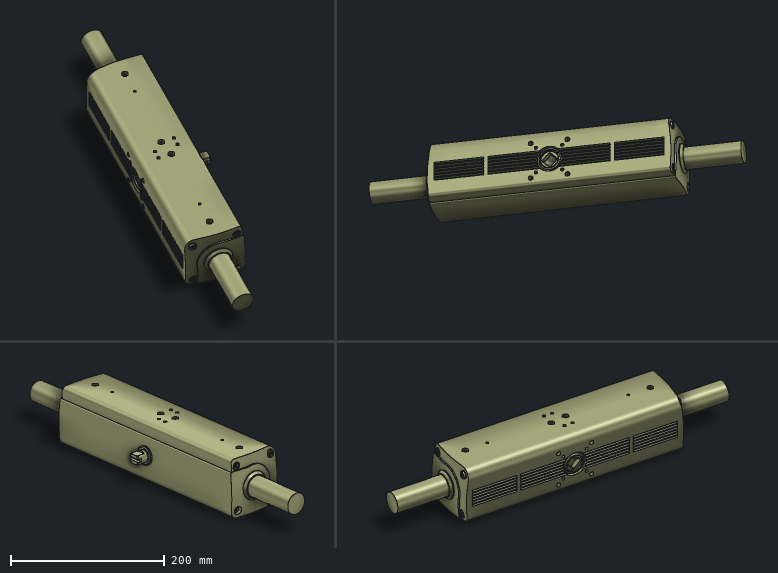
import cadquery as cq
import math


total_length = 502.0
rod_dia = 30.0
cut_clearance = 5.0

far_side = 44.5
near_side = 38.5
step_side = 36.0
step_start = 27.0
big_corner_radius = 15.0
step_corner_radius = 6.0
near_corner_radius = 10.5
step_edge_radius = 2.0

dome_apex = 170.0
dome_radius = 251.0
dome_offset = 7.5
cap_seam = 155.0
recess_level = 165.0
pad_radius = 29.0
pad_side = 28.0

collar_end = 173.0
collar_tip_dia = 33.0
collar_cone_length = 3.5
collar_base_dia = collar_tip_dia + 2 * collar_cone_length

screw_span = 61.5
screw_center = (far_side - near_side) / 2
screw_pocket_dia = 11.0
screw_pocket_level = 161.5
screw_head_dia = 8.5
screw_head_level = 164.5
screw_socket_dia = 4.0
screw_socket_depth = 1.5

strip_half_height = 13.5
groove_count = 6
groove_pitch = 2 * strip_half_height / groove_count
groove_width = 3.0
groove_depth = 1.5
plate_outer = 88.5
plate_inner = 82.5

ring_mouth_dia = 35.0
ring_floor_dia = 33.0
ring_depth = 3.0
shaft_dia = 29.0
shaft_tip_dia = 25.0
shaft_tip_level = 1.0
shaft_recess_dia = 24.0
shaft_recess_depth = 3.0
socket_square = 15.0
socket_depth = 10.0
socket_cone_depth = 7.0
outer_bolt_circle = 70.5
outer_bolt_dia = 6.0
inner_bolt_circle = 50.0
inner_bolt_dia = 4.1
bolt_depth = 10.0
drill_tip_ratio = 0.3

stem_end = 58.5
stem_dia = 18.0
stem_flat_width = 13.0
stem_flat_start = 46.0
stem_chamfer = 1.5
stem_slot_width = 4.0
stem_slot_depth = 5.0
stem_flange_dia = 26.0
stem_flange_end = 42.0
stem_flange_chamfer = 1.5

valve_hole_x = 12.0
valve_hole_span_y = 32.0
valve_center_y = -1.5
valve_screw_dia = 4.1
valve_screw_depth = 10.0
port_dia = 8.5
port_shift_y = 2.0
port_depth = 10.0
port_inner_dia = 3.25
port_inner_depth = 5.0
cap_port_x = 140.0
pin_hole_x = 107.0
pin_hole_dia = 3.25
pin_hole_depth = 5.0


def cylinder_x(dia, x_start, x_end, y=0.0, z=0.0):
    """Cylinder along X between two X values."""
    direction = cq.Vector(math.copysign(1, x_end - x_start), 0, 0)
    start = cq.Vector(x_start, y, z)
    return cq.Workplane(cq.Solid.makeCylinder(dia / 2, abs(x_end - x_start), start, direction))


def drill(dia, depth, place, direction):
    """Blind round hole with a conical tip, starting at a surface point."""
    start = cq.Vector(*place)
    way = cq.Vector(*direction)
    shank = cq.Solid.makeCylinder(dia / 2, depth, start, way)
    tip = cq.Solid.makeCone(dia / 2, 0, dia * drill_tip_ratio, start + way * depth, way)
    return cq.Workplane(shank.fuse(tip))


def make_housing():
    """Full-length section, rounded, then trimmed by one dome at each end."""
    outline = [
        (-far_side, far_side),
        (step_side, far_side),
        (step_side, step_start),
        (near_side, step_start),
        (near_side, -near_side),
        (-step_start, -near_side),
        (-step_start, -step_side),
        (-far_side, -step_side),
    ]
    housing = cq.Workplane("YZ").polyline(outline).close().extrude(dome_apex, both=True)
    rounded_corners = [
        ((-far_side, far_side), big_corner_radius),
        ((step_side, far_side), step_corner_radius),
        ((-far_side, -step_side), step_corner_radius),
        ((near_side, -near_side), near_corner_radius),
        ((near_side, step_start), step_edge_radius),
        ((-step_start, -near_side), step_edge_radius),
    ]
    for (y, z), radius in rounded_corners:
        housing = housing.edges(cq.selectors.NearestToPointSelector((0, y, z))).fillet(radius)
    for side in (-1, 1):
        center = (side * (dome_apex - dome_radius), dome_offset, -dome_offset)
        housing = housing.intersect(cq.Workplane("XY").sphere(dome_radius).translate(center))
    return housing


def make_band_cutter(side):
    """Everything beyond the recess level except the raised pad around the rod."""
    reach = 2 * far_side
    height = dome_apex - recess_level + cut_clearance
    base = cq.Workplane("YZ", origin=(side * recess_level, 0, 0))
    beyond = base.rect(2 * reach, 2 * reach).extrude(side * height)
    square = base.center((reach - pad_side) / 2, (pad_side - reach) / 2)
    square = square.rect(reach + pad_side, reach + pad_side).extrude(side * height)
    corner = base.center(-reach / 2, reach / 2).rect(reach, reach).extrude(side * height)
    disc = base.circle(pad_radius).extrude(side * height)
    return beyond.cut(square.cut(corner)).cut(disc)


def make_rod(side):
    """Plain rod with its conical collar on the cap."""
    rod = cylinder_x(rod_dia, 0, side * total_length / 2)
    collar = cylinder_x(collar_base_dia, 0, side * collar_end)
    tip_face = "<X" if side < 0 else ">X"
    return rod.union(collar.faces(tip_face).chamfer(collar_cone_length))


def add_cap_screws(body, side):
    """Four socket head screws sunk in round pockets of the cap."""
    outside = side * (dome_apex + cut_clearance)
    for dy in (-screw_span / 2, screw_span / 2):
        for dz in (-screw_span / 2, screw_span / 2):
            y = dy - screw_center
            z = dz + screw_center
            pocket = cylinder_x(screw_pocket_dia, side * screw_pocket_level, outside, y, z)
            head = cylinder_x(screw_head_dia, side * cap_seam, side * screw_head_level, y, z)
            socket = drill(screw_socket_dia, screw_socket_depth, (side * screw_head_level, y, z), (-side, 0, 0))
            body = body.cut(pocket).union(head).cut(socket)
    return body


def cut_ribbed_strip(body):
    """Parallel V-grooves along each barrel, leaving the plates and caps plain."""
    barrels = [(-cap_seam, -plate_outer), (-plate_inner, plate_inner), (plate_outer, cap_seam)]
    for x_start, x_end in barrels:
        for index in range(groove_count):
            z = (index - (groove_count - 1) / 2) * groove_pitch
            groove = (
                cq.Workplane("YZ", origin=(x_start, -far_side, z))
                .polyline([(0, groove_width / 2), (groove_depth, 0), (0, -groove_width / 2)])
                .close()
                .extrude(x_end - x_start)
            )
            body = body.cut(groove)
    return body


def cut_drive_socket(body):
    """Round opening with a chamfered shaft end in it, holding a square socket with a conical bottom."""
    mouth = -far_side
    tip = mouth + shaft_tip_level
    floor = mouth + ring_depth
    half_section = [
        (0, mouth),
        (ring_mouth_dia / 2, mouth),
        (ring_floor_dia / 2, floor),
        (shaft_dia / 2, floor),
        (shaft_tip_dia / 2, tip),
        (0, tip),
    ]
    opening = cq.Workplane("XY").polyline(half_section).close().revolve(360, (0, 0, 0), (0, 1, 0))
    body = body.cut(opening)

    recess = cq.Workplane("XZ", origin=(0, tip, 0)).circle(shaft_recess_dia / 2).extrude(-shaft_recess_depth)
    body = body.cut(recess)

    way = cq.Vector(0, 1, 0)
    corner_radius = socket_square / math.sqrt(2)
    shank = cq.Solid.makeCylinder(corner_radius, socket_depth, cq.Vector(0, mouth, 0), way)
    cone = cq.Solid.makeCone(corner_radius, 0, socket_cone_depth, cq.Vector(0, mouth + socket_depth, 0), way)
    square = cq.Workplane("XY").box(socket_square, 2 * far_side, socket_square)
    square = square.rotate((0, 0, 0), (0, 1, 0), 45).translate((0, mouth, 0))
    return body.cut(square.intersect(cq.Workplane(shank.fuse(cone))))


def cut_mounting_holes(body):
    """Two square patterns of blind holes around the drive socket."""
    for circle, dia in ((outer_bolt_circle, outer_bolt_dia), (inner_bolt_circle, inner_bolt_dia)):
        reach = circle / 2 * math.sqrt(0.5)
        for x in (-reach, reach):
            for z in (-reach, reach):
                body = body.cut(drill(dia, bolt_depth, (x, -far_side, z), (0, 1, 0)))
    return body


def make_stem():
    """Flanged drive stem with two flats and a cross slot in its end."""
    base = cq.Workplane("XZ")
    flange = base.circle(stem_flange_dia / 2).extrude(-stem_flange_end)
    flange = flange.faces(">Y").chamfer(stem_flange_chamfer)
    stem = base.circle(stem_dia / 2).extrude(-stem_end).faces(">Y").chamfer(stem_chamfer)
    flat_length = stem_end - stem_flat_start
    for side in (-1, 1):
        waste = cq.Workplane("XY").box(stem_dia, flat_length, stem_dia)
        stem = stem.cut(
            waste.translate((0, stem_end - flat_length / 2, side * (stem_flat_width + stem_dia) / 2))
        )
    slot = cq.Workplane("XY").box(stem_dia, stem_slot_depth, stem_slot_width)
    stem = stem.cut(slot.translate((0, stem_end - stem_slot_depth / 2, 0)))
    return flange.union(stem)


def cut_top_holes(body):
    """Valve mounting pattern in the middle, a port and a pin hole near each end."""
    down = (0, 0, -1)
    front_y = valve_center_y - valve_hole_span_y / 2
    back_y = valve_center_y + valve_hole_span_y / 2
    for x, y in ((-valve_hole_x, back_y), (0, back_y), (0, front_y), (valve_hole_x, front_y)):
        body = body.cut(drill(valve_screw_dia, valve_screw_depth, (x, y, far_side), down))

    port_floor = far_side - port_depth
    left_port = (-valve_hole_x, valve_center_y - port_shift_y)
    right_port = (valve_hole_x, valve_center_y + port_shift_y)
    stepped_ports = [right_port, (-cap_port_x, 0), (cap_port_x, 0)]
    for x, y in [left_port] + stepped_ports:
        port = cq.Workplane("XY", origin=(x, y, port_floor)).circle(port_dia / 2).extrude(port_depth)
        body = body.cut(port)
    for x, y in stepped_ports:
        body = body.cut(drill(port_inner_dia, port_inner_depth, (x, y, port_floor), down))

    for x in (-pin_hole_x, pin_hole_x):
        body = body.cut(drill(pin_hole_dia, pin_hole_depth, (x, 0, far_side), down))
    return body


result = make_housing()
for end in (-1, 1):
    result = result.cut(make_band_cutter(end))
    result = result.union(make_rod(end))
    result = add_cap_screws(result, end)
result = cut_ribbed_strip(result)
result = cut_drive_socket(result)
result = cut_mounting_holes(result)
result = result.union(make_stem())
result = cut_top_holes(result)